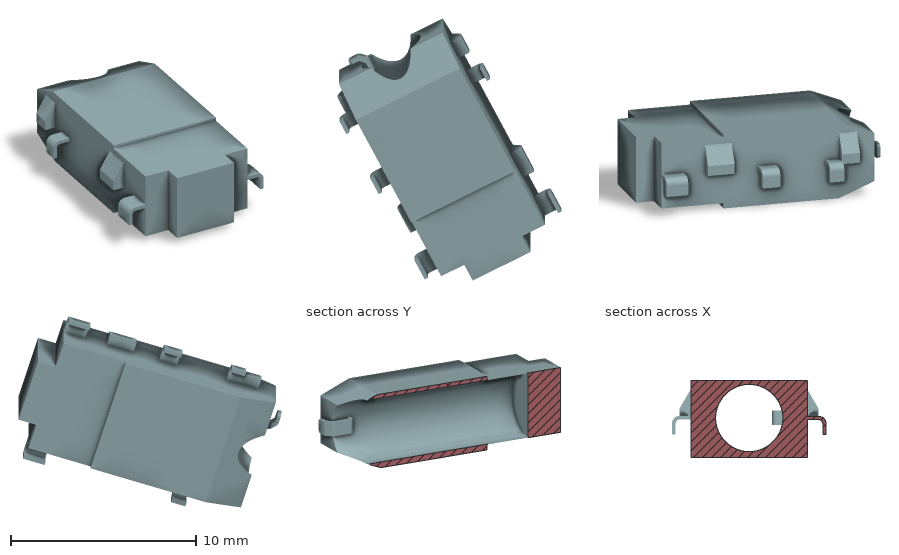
import cadquery as cq
import math


body_length = 12.0
body_width = 6.3
body_top = 2.05
body_bottom = -2.15
top_slope_length = 1.75
top_slope_drop = 0.7
bottom_slope_length = 2.0
bottom_slope_rise = 0.8
rear_start = 8.5
rear_height = 3.7
tongue_length = 1.0
tongue_width = 3.5

socket_diameter = 3.6
socket_depth = 11.0

lug_spans = [(1.0, 2.0), (8.05, 9.55)]
lug_reach = 0.6
lug_top = 1.52
lug_edge = 0.5
lug_bottom = -0.05

sheet = 0.2
rear_pin_start = 10.78
left_pin_spans = [(2.0, 2.8), (5.6, 6.6), (rear_pin_start, body_length)]
right_pin_spans = [(2.83, 3.63), (rear_pin_start, body_length)]
pin_reach = 1.0
pin_tip = -0.9
pin_bend_radius = 0.4
embed = 0.3

contact_height = 0.8
contact_front = -0.6
contact_tail_end = 2.25
contact_tail_corner = 0.2
contact_upper_bend = 1.63
contact_inner_face = 1.25
contact_bend_angle = 45.0
contact_bend_radius = 0.3
contact_hook_x = 1.05
contact_hook_end = 2.0
contact_hook_radius = 0.25


def make_housing():
    half_rear = rear_height / 2
    outline = [
        (0, body_bottom + bottom_slope_rise),
        (bottom_slope_length, body_bottom),
        (rear_start, body_bottom),
        (rear_start, -half_rear),
        (body_length, -half_rear),
        (body_length, half_rear),
        (rear_start, half_rear),
        (rear_start, body_top),
        (top_slope_length, body_top),
        (0, body_top - top_slope_drop),
    ]
    block = cq.Workplane("XZ").polyline(outline).close().extrude(body_width / 2, both=True)
    tongue = cq.Workplane("YZ", origin=(body_length - tongue_length, 0, 0)).rect(
        tongue_width, rear_height).extrude(2 * tongue_length)
    socket = cq.Workplane("YZ").circle(socket_diameter / 2).extrude(socket_depth)
    return block.union(tongue).cut(socket)


def make_lug(start, end):
    """Lug on the +Y side."""
    wall = body_width / 2
    outline = [
        (wall - embed, lug_bottom),
        (wall + lug_reach, lug_bottom),
        (wall + lug_reach, lug_edge),
        (wall, lug_top),
        (wall - embed, lug_top),
    ]
    return cq.Workplane("YZ", origin=(start, 0, 0)).polyline(outline).close().extrude(end - start)


def make_pin(start, end):
    """Pin on the +Y side, leaving the wall level and bent down."""
    wall = body_width / 2
    tip_y = wall + pin_reach
    top = sheet / 2
    outline = [
        (wall - embed, top),
        (tip_y, top),
        (tip_y, pin_tip),
        (tip_y - sheet, pin_tip),
        (tip_y - sheet, top - sheet),
        (wall - embed, top - sheet),
    ]
    length = end - start
    pin = cq.Workplane("YZ", origin=(start, 0, 0)).polyline(outline).close().extrude(length)
    outer = cq.selectors.NearestToPointSelector((start + length / 2, tip_y, top))
    inner = cq.selectors.NearestToPointSelector((start + length / 2, tip_y - sheet, top - sheet))
    pin = pin.edges(outer).fillet(pin_bend_radius)
    return pin.edges(inner).fillet(pin_bend_radius - sheet)


def make_contact():
    diagonal_drop = contact_upper_bend - contact_inner_face
    diagonal_end = contact_front + diagonal_drop * math.tan(math.radians(contact_bend_angle))
    outer = [
        (contact_front, contact_tail_end),
        (contact_front, contact_upper_bend),
        (diagonal_end, contact_inner_face),
        (contact_hook_x, contact_inner_face),
        (contact_hook_x, contact_hook_end),
    ]
    bend_shift = sheet * math.tan(math.radians(contact_bend_angle / 2))
    inner = [
        (contact_front + sheet, contact_tail_end),
        (contact_front + sheet, contact_upper_bend + bend_shift),
        (diagonal_end + bend_shift, contact_inner_face + sheet),
        (contact_hook_x - sheet, contact_inner_face + sheet),
        (contact_hook_x - sheet, contact_hook_end),
    ]
    outline = cq.Workplane("XY").polyline(outer + inner[::-1]).close()
    strip = outline.extrude(contact_height / 2, both=True)
    radii = [contact_bend_radius, contact_bend_radius, contact_hook_radius]
    for outer_point, inner_point, radius in zip(outer[1:4], inner[1:4], radii):
        at_outer = cq.selectors.NearestToPointSelector((*outer_point, 0))
        strip = strip.edges(at_outer).fillet(radius)
        at_inner = cq.selectors.NearestToPointSelector((*inner_point, 0))
        strip = strip.edges(at_inner).fillet(radius - sheet)
    tail_center_x = contact_front + sheet / 2
    for z in (-contact_height / 2, contact_height / 2):
        corner = cq.selectors.NearestToPointSelector((tail_center_x, contact_tail_end, z))
        strip = strip.edges(corner).fillet(contact_tail_corner)
    return strip


result = make_housing().union(make_contact())
for span in lug_spans:
    lug = make_lug(*span)
    result = result.union(lug).union(lug.mirror("XZ"))
for span in left_pin_spans:
    result = result.union(make_pin(*span))
for span in right_pin_spans:
    result = result.union(make_pin(*span).mirror("XZ"))